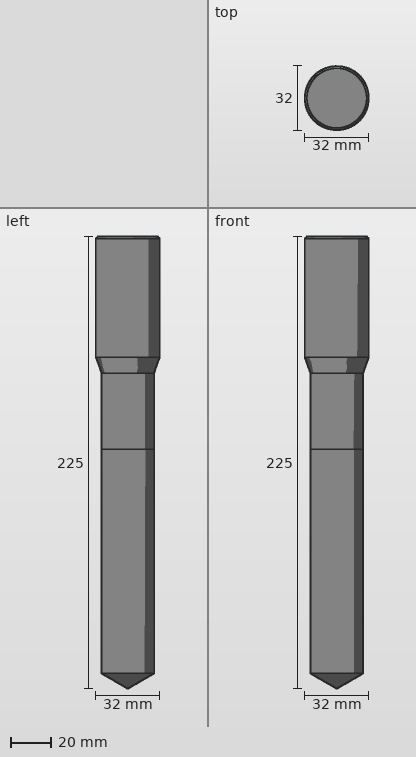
import cadquery as cq
import math

total_length = 225.0
shank_diameter = 32.0
neck_diameter = 26.3
cutter_diameter = 26.3

head_length = 60.0
taper_length = 7.9
neck_length = 37.8
top_chamfer = 1.1
point_angle = 120.0

shank_radius = shank_diameter / 2
neck_radius = neck_diameter / 2
cutter_radius = cutter_diameter / 2
point_height = cutter_radius / math.tan(math.radians(point_angle / 2))
head_bottom = total_length - head_length
neck_top = head_bottom - taper_length
joint_height = neck_top - neck_length


def revolve_about_z(outline):
    """Turn a closed outline of (radius, height) points about the Z axis."""
    return cq.Workplane("XZ").polyline(outline).close().revolve(360, (0, 0, 0), (0, 1, 0))


def make_shank():
    """Chamfered head, conical shoulder and neck, ending flat at the joint."""
    return revolve_about_z([
        (0, joint_height),
        (neck_radius, joint_height),
        (neck_radius, neck_top),
        (shank_radius, head_bottom),
        (shank_radius, total_length - top_chamfer),
        (shank_radius - top_chamfer, total_length),
        (0, total_length),
    ])


def make_cutter():
    """Round cutting section with a conical point, butted against the neck."""
    return revolve_about_z([
        (0, 0),
        (cutter_radius, point_height),
        (cutter_radius, joint_height),
        (0, joint_height),
    ])


shank = make_shank()
cutter = make_cutter()

result = cq.Compound.makeCompound([shank.val(), cutter.val()])